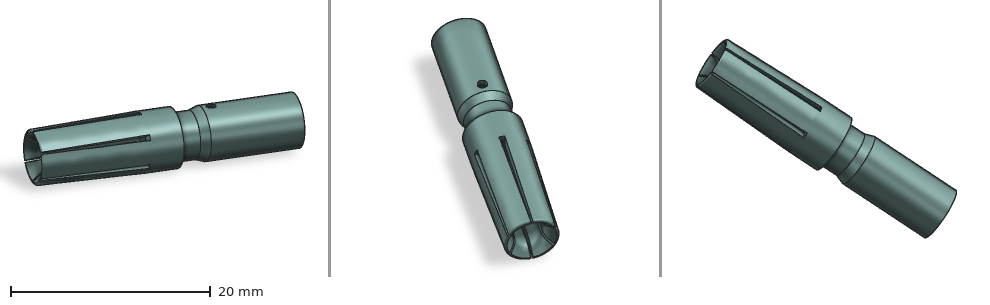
import cadquery as cq
import math

length = 28.0
front = -length / 2

collar_diameter = 6.3
barrel_diameter = 5.7
neck_diameter = 5.0
tip_diameter = 5.7
tip_rounding = 0.2

taper_length = 11.3
collar_rear = 14.98
neck_rear = 17.0
barrel_front = 18.0

mouth_radius = 2.58
mouth_depth = 0.5
throat_radius = 2.13
bore_radius = 1.65
bore_depth = 12.0
drill_point_angle = 118.0

slot_count = 6
slot_length = 11.5
slot_tip_width = 0.22
slot_root_width = 0.6

inspection_diameter = 1.0
inspection_position = 19.0


def revolve_about_axis(outline):
    """Close a half outline (radius, distance from front) and revolve it about Y."""
    return outline.close().revolve(360, (0, 0, 0), (0, 1, 0))


def make_body():
    """Stepped outside with a rounded tip and a taper up to the collar."""
    tip_radius = tip_diameter / 2
    outline = (
        cq.Workplane("XY", origin=(0, front, 0))
        .lineTo(tip_radius - tip_rounding, 0)
        .tangentArcPoint((tip_radius, tip_rounding), relative=False)
        .lineTo(collar_diameter / 2, taper_length)
        .lineTo(collar_diameter / 2, collar_rear)
        .lineTo(neck_diameter / 2, collar_rear)
        .lineTo(neck_diameter / 2, neck_rear)
        .lineTo(barrel_diameter / 2, barrel_front)
        .lineTo(barrel_diameter / 2, length)
        .lineTo(0, length)
    )
    return revolve_about_axis(outline)


def make_socket():
    """Conical mouth, rounded throat tangent to mouth and bore, and drilled bore."""
    mouth_angle = math.atan2(mouth_radius - throat_radius, mouth_depth)
    throat_step = throat_radius - bore_radius
    throat_end = mouth_depth + throat_step / math.tan(mouth_angle / 2)
    point_depth = bore_radius / math.tan(math.radians(drill_point_angle / 2))
    outline = (
        cq.Workplane("XY", origin=(0, front, 0))
        .lineTo(mouth_radius, 0)
        .lineTo(throat_radius, mouth_depth)
        .tangentArcPoint((bore_radius, throat_end), relative=False)
        .lineTo(bore_radius, bore_depth)
        .lineTo(0, bore_depth + point_depth)
    )
    return revolve_about_axis(outline)


def make_slot(angle):
    """Wedge from the axis outwards, narrowing towards the finger tips."""
    slot = (
        cq.Workplane("XY")
        .polyline([
            (-slot_tip_width / 2, front),
            (slot_tip_width / 2, front),
            (slot_root_width / 2, front + slot_length),
            (-slot_root_width / 2, front + slot_length),
        ])
        .close()
        .extrude(collar_diameter)
    )
    return slot.rotate((0, 0, 0), (0, 1, 0), angle)


def make_inspection_hole():
    """Blind hole from the top of the barrel down to its axis."""
    return (
        cq.Workplane("XY")
        .center(0, front + inspection_position)
        .circle(inspection_diameter / 2)
        .extrude(barrel_diameter)
    )


result = make_body().cut(make_socket())
for index in range(slot_count):
    result = result.cut(make_slot(index * 360 / slot_count))
result = result.cut(make_inspection_hole())